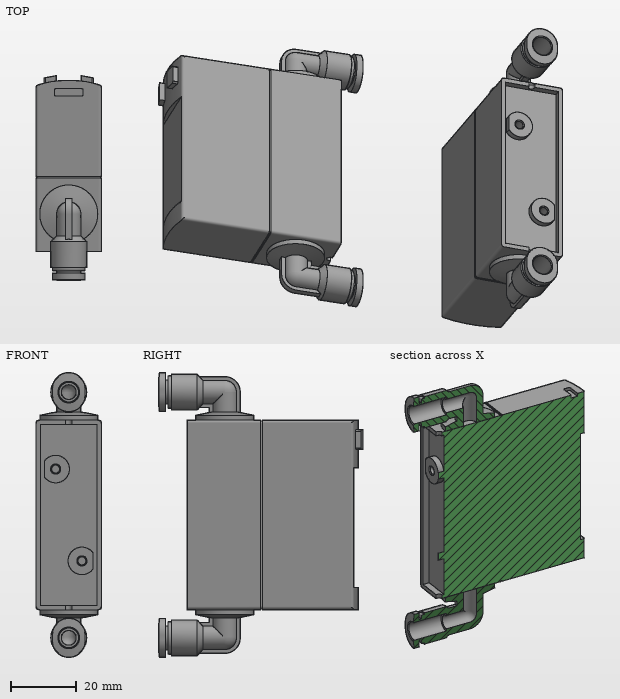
import cadquery as cq
import math


width = 20.0
height = 57.8
edge_radius = 0.9
rear_centre_y = 52.3
rear_corner_y = 50.7
rear_recess_y = 50.9
rear_recess_top_z = 14.4
rear_recess_bottom_z = -22.1

wall = 1.35
cavity_depth = 2.2

boss_radius = 4.2
boss_height = 2.0
boss_x = 4.0
boss_z = 14.0
boss_flat_x = 7.45
screw_hole_diameter = 2.46
screw_hole_lead_diameter = 3.1
screw_hole_lead = (screw_hole_lead_diameter - screw_hole_diameter) / 2
screw_hole_depth = 6.0

vent_width = 1.9
vent_depth = 1.5

seam_y = 22.7
seam_width = 0.5
seam_depth = 0.2

slot_length = 8.8
slot_width = 2.2
slot_depth = 1.0
slot_y = 48.6
slot_corner_radius = 0.4

clip_inner_x = 3.8
clip_outer_x = 7.6
clip_tip_y = 53.72
clip_shoulder_y = 53.0
clip_root_y = 50.0
clip_bottom_z = 20.0
clip_height = 6.0
clip_chamfer = 0.5

axis_y = 11.5
axis_z = 37.475
base_z = height / 2

flange_diameter = 17.7
flange_height = 1.5
dome_height = 1.0
dome_top_radius = 3.9
dome_bow_point = (6.5, 0.55)

elbow_radius = 7.4 / 2
rib_thickness = 2.0
rib_reach = 4.75
cone_rear_y = 4.85
collar_rear_y = 3.05
rib_end_y = 3.75
collar_front_y = -4.75
collar_radius = 11 / 2
step_front_y = -5.85
step_radius = 10 / 2
step_fillet = 0.4

neck_radius = 7.4 / 2
ring_rear_y = -6.5
ring_front_y = -8.45
tip_y = -8.76
ring_width = 10.0
ring_height = 11.95

bore_diameter = 4.5
tube_diameter = 6.0
tube_lead = 0.3
tube_stop_y = 3.0


def box_between(x0, x1, y0, y1, z0, z1):
    """Box given by its two faces along each axis."""
    return cq.Workplane("XY").box(x1 - x0, y1 - y0, z1 - z0, centered=False).translate((x0, y0, z0))


def cylinder_along_y(radius, y0, y1, x=0.0, z=0.0):
    """Cylinder parallel to Y between two Y positions."""
    solid = cq.Solid.makeCylinder(radius, y1 - y0, cq.Vector(x, y0, z), cq.Vector(0, 1, 0))
    return cq.Workplane(obj=solid)


def housing_block():
    """Long block with a bowed rear face, recessed across its middle; long edges and rear corners rounded."""
    half = width / 2
    block = (
        cq.Workplane("XY")
        .workplane(offset=-height / 2)
        .moveTo(-half, 0)
        .lineTo(half, 0)
        .lineTo(half, rear_corner_y)
        .threePointArc((0, rear_centre_y), (-half, rear_corner_y))
        .close()
        .extrude(height)
    )
    block = block.faces("<X or >X").edges("|Y or (|Z and >Y)").fillet(edge_radius)
    recess = box_between(-half, half, rear_recess_y, rear_centre_y, rear_recess_bottom_z, rear_recess_top_z)
    return block.cut(recess)


def front_cavity():
    """Shallow rectangular pocket in the front face."""
    x = width / 2 - wall
    z = height / 2 - wall
    return box_between(-x, x, 0, cavity_depth, -z, z)


def screw_boss(side):
    """Round boss on the pocket floor, flattened where it faces the side wall; side is +1 or -1 in X."""
    mouth_y = cavity_depth - boss_height
    boss = cylinder_along_y(boss_radius, mouth_y, cavity_depth, side * boss_x, -side * boss_z)
    beyond_flat = box_between(boss_flat_x, width, 0, cavity_depth, -height / 2, height / 2)
    if side < 0:
        beyond_flat = beyond_flat.mirror("YZ")
    return boss.cut(beyond_flat)


def screw_hole(side):
    """Blind screw hole with a chamfered mouth, in the middle of a boss."""
    mouth_y = cavity_depth - boss_height
    x = side * boss_x
    z = -side * boss_z
    hole = cylinder_along_y(screw_hole_diameter / 2, mouth_y, mouth_y + screw_hole_depth, x, z)
    lead = cq.Solid.makeCone(
        screw_hole_lead_diameter / 2,
        screw_hole_diameter / 2,
        screw_hole_lead,
        cq.Vector(x, mouth_y, z),
        cq.Vector(0, 1, 0),
    )
    return hole.union(cq.Workplane(obj=lead))


def vent_notch():
    """Round-ended notch through the top and bottom walls of the pocket, open to the front."""
    radius = vent_width / 2
    straight = vent_depth - radius
    return (
        cq.Workplane("XY")
        .workplane(offset=-height / 2)
        .moveTo(-radius, 0)
        .lineTo(radius, 0)
        .lineTo(radius, straight)
        .threePointArc((0, vent_depth), (-radius, straight))
        .close()
        .extrude(height)
    )


def seam_groove():
    """Narrow groove all round the housing."""
    groove = cq.Workplane("XZ").rect(width, height).extrude(seam_width / 2, both=True)
    core = (
        cq.Workplane("XZ")
        .rect(width - 2 * seam_depth, height - 2 * seam_depth)
        .extrude(seam_width / 2, both=True)
        .edges("|Y")
        .fillet(edge_radius)
    )
    return groove.cut(core).translate((0, seam_y, 0))


def label_slot():
    """Shallow slot in the top face near the rear."""
    slot = cq.Workplane("XY").rect(slot_length, slot_width).extrude(-slot_depth)
    return slot.edges("|Z").fillet(slot_corner_radius).translate((0, slot_y, height / 2))


def rear_clip():
    """Clip on the rear face at +X, with a slanted back and chamfered outer ends."""
    clip = (
        cq.Workplane("XY")
        .workplane(offset=clip_bottom_z)
        .polyline(
            [
                (clip_inner_x, clip_root_y),
                (clip_outer_x, clip_root_y),
                (clip_outer_x, clip_shoulder_y),
                (clip_inner_x, clip_tip_y),
            ]
        )
        .close()
        .extrude(clip_height)
    )
    return clip.faces(">X").edges("|Y").chamfer(clip_chamfer)


def make_housing():
    body = housing_block().cut(front_cavity()).cut(vent_notch())
    for side in (-1, 1):
        body = body.union(screw_boss(side)).cut(screw_hole(side))
    clip = rear_clip()
    body = body.union(clip).union(clip.mirror("YZ"))
    return body.cut(seam_groove()).cut(label_slot())


def fitting_flange():
    """Round flange with a low domed top, on the housing's top face."""
    radius = flange_diameter / 2
    bow_radius, bow_height = dome_bow_point
    return (
        cq.Workplane("XZ")
        .moveTo(0, 0)
        .lineTo(radius, 0)
        .lineTo(radius, flange_height)
        .threePointArc(
            (bow_radius, flange_height + bow_height),
            (dome_top_radius, flange_height + dome_height),
        )
        .lineTo(0, flange_height + dome_height)
        .close()
        .revolve(360, (0, 0), (0, 1))
        .translate((0, axis_y, base_z))
    )


def elbow_pipe():
    """Vertical and forward pipes that meet at a ball."""
    bottom_z = base_z + flange_height
    riser = cq.Workplane("XY").circle(elbow_radius).extrude(axis_z - bottom_z)
    riser = riser.translate((0, axis_y, bottom_z))
    ball = cq.Workplane("XY").sphere(elbow_radius).translate((0, axis_y, axis_z))
    branch = cylinder_along_y(elbow_radius, collar_rear_y, axis_y, z=axis_z)
    return riser.union(ball).union(branch)


def elbow_rib():
    """Flat rib in the elbow's mid-plane, standing proud of the pipe inside and outside the bend."""
    bottom_z = base_z + flange_height
    diagonal = rib_reach * math.sqrt(0.5)
    outer_y = axis_y + rib_reach
    inner_y = axis_y - rib_reach
    return (
        cq.Workplane("YZ")
        .moveTo(outer_y, bottom_z)
        .lineTo(outer_y, axis_z)
        .threePointArc((axis_y + diagonal, axis_z + diagonal), (axis_y, axis_z + rib_reach))
        .lineTo(rib_end_y, axis_z + rib_reach)
        .lineTo(rib_end_y, axis_z - rib_reach)
        .lineTo(inner_y, axis_z - rib_reach)
        .lineTo(inner_y, bottom_z)
        .close()
        .extrude(rib_thickness / 2, both=True)
    )


def tube_socket():
    """Turned collar with a cone behind it, a step in front, and the neck of the release ring."""
    step = cylinder_along_y(step_radius, step_front_y, collar_front_y).faces("<Y").edges().fillet(step_fillet)
    collar = cylinder_along_y(collar_radius, collar_front_y, collar_rear_y)
    cone = cq.Solid.makeCone(
        collar_radius,
        elbow_radius,
        cone_rear_y - collar_rear_y,
        cq.Vector(0, collar_rear_y, 0),
        cq.Vector(0, 1, 0),
    )
    neck = cylinder_along_y(neck_radius, ring_rear_y, step_front_y)
    socket = collar.union(cq.Workplane(obj=cone)).union(step).union(neck)
    return socket.translate((0, 0, axis_z))


def release_ring():
    """Oblong ring, taller than wide, whose front face slopes back from the tube hole."""
    outline = cq.Workplane("XZ").slot2D(ring_height, ring_width, 90).extrude(ring_rear_y - tip_y)
    outline = outline.translate((0, ring_rear_y, 0))
    cone = cq.Solid.makeCone(
        tube_diameter / 2 + tube_lead,
        ring_height / 2,
        ring_front_y - tip_y,
        cq.Vector(0, tip_y, 0),
        cq.Vector(0, 1, 0),
    )
    coned_blank = cylinder_along_y(ring_height / 2, ring_front_y, ring_rear_y).union(cq.Workplane(obj=cone))
    return outline.intersect(coned_blank).translate((0, 0, axis_z))


def fitting_bore():
    """Tube hole with a chamfered mouth, then a narrower passage that turns down to the housing."""
    bore_radius = bore_diameter / 2
    tube_radius = tube_diameter / 2
    passage = cylinder_along_y(bore_radius, tip_y, axis_y, z=axis_z)
    drop = cq.Workplane("XY").circle(bore_radius).extrude(axis_z - base_z).translate((0, axis_y, base_z))
    turn = cq.Workplane("XY").sphere(bore_radius).translate((0, axis_y, axis_z))
    tube_hole = cylinder_along_y(tube_radius, tip_y, tube_stop_y, z=axis_z)
    lead = cq.Solid.makeCone(
        tube_radius + tube_lead,
        tube_radius,
        tube_lead,
        cq.Vector(0, tip_y, axis_z),
        cq.Vector(0, 1, 0),
    )
    return passage.union(drop).union(turn).union(tube_hole).union(cq.Workplane(obj=lead))


def make_fitting(end):
    """Elbow fitting on the top (end = +1) or the bottom (end = -1) of the housing."""
    body = fitting_flange().union(elbow_pipe()).union(elbow_rib()).union(tube_socket())
    body = body.union(release_ring()).cut(fitting_bore())
    return body if end > 0 else body.mirror("XY")


housing = make_housing()
fittings = [make_fitting(end) for end in (1, -1)]

result = cq.Compound.makeCompound([body.solids().val() for body in (housing, *fittings)])